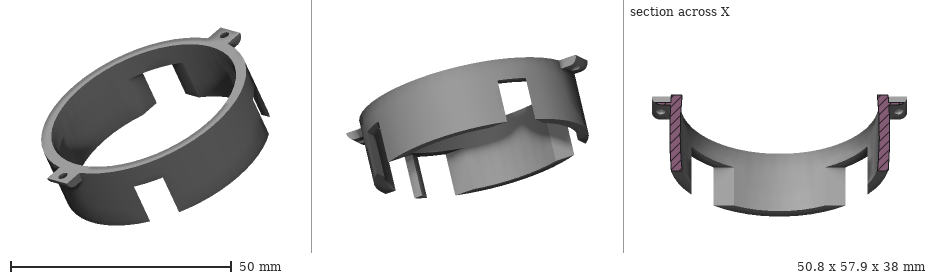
import cadquery as cq

outer_diameter = 50.0
inner_diameter = 45.0
ring_height = 15.0
tilt_angle = 30

square_side = 40.0
square_depth = 10.0

ear_span = 57.85
ear_width = 7.0
ear_thickness = 2.0
ear_fillet_radius = 1.95
screw_hole_diameter = 2.2
screw_hole_spacing = 53.9

notch_start_x = 2.0
notch_end_x = 12.0
notch_depth = 10.0


def make_ring():
    """Ring with its top face on the XY plane."""
    return (
        cq.Workplane("XY")
        .circle(outer_diameter / 2)
        .extrude(-ring_height)
    )


def make_ears():
    """Bar spanning the ring; its two ends become the screw ears, rounded underneath."""
    return (
        cq.Workplane("XY")
        .rect(ear_width, ear_span)
        .extrude(-ear_thickness)
        .faces("<Z")
        .edges("|X and (<Y or >Y)")
        .fillet(ear_fillet_radius)
    )


def make_bore():
    return cq.Workplane("XY").circle(inner_diameter / 2).extrude(-ring_height)


def make_square_clearance():
    """Square pocket whose corners break through the wall as four notches."""
    return (
        cq.Workplane("XY", origin=(0, 0, -ring_height))
        .rect(square_side, square_side)
        .extrude(square_depth)
    )


def make_screw_holes():
    return (
        cq.Workplane("XY")
        .rarray(0.6, screw_hole_spacing, 1, 2)
        .circle(screw_hole_diameter / 2)
        .extrude(-ear_thickness)
    )


def make_flap_notch():
    """Off-centre opening through the wall on the +Y side only."""
    notch_width = notch_end_x - notch_start_x
    return (
        cq.Workplane("XY", origin=(notch_start_x, 0, -ring_height))
        .rect(notch_width, outer_diameter / 2, centered=False)
        .extrude(notch_depth)
    )


part = (
    make_ring()
    .union(make_ears())
    .cut(make_bore())
    .cut(make_square_clearance())
    .cut(make_flap_notch())
    .cut(make_screw_holes())
)

result = part.rotate((0, 0, 0), (0, 1, 0), -tilt_angle)